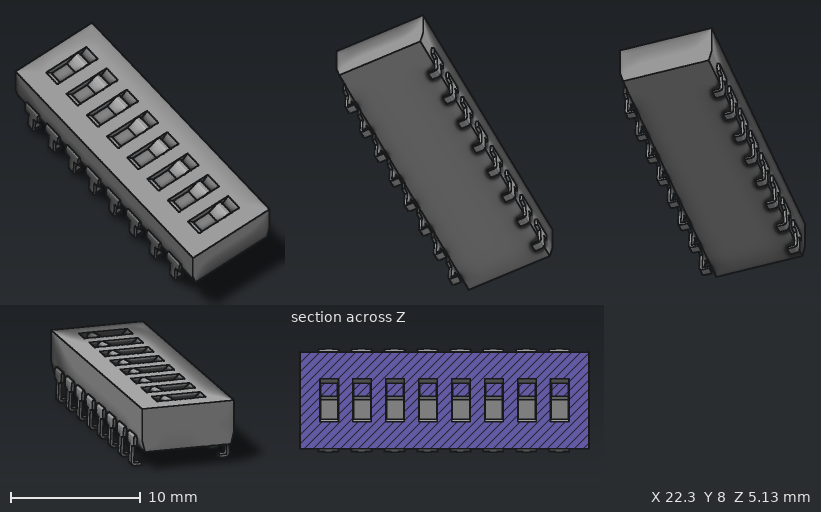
import cadquery as cq
import math

POSITIONS = 8
PITCH = 2.55
CONTACT_SHIFT = -0.05

BODY_LENGTH = 22.3
BODY_WIDTH = 7.5
TOP_Z = 5.13
BODY_BOTTOM_Z = 1.63
SKIRT_TOP_Z = 2.63
SKIRT_INSET = 0.25

WINDOW_WIDTH = 1.4
WINDOW_LENGTH = 3.92
WINDOW_DEPTH = 0.7
WINDOW_Y = 0.02
END_WALL_RUN = WINDOW_DEPTH

ACTUATOR_WIDTH = 1.32
ACTUATOR_FLOOR_DEPTH = 0.5
KNOB_RADIUS = 0.38
CREST_RADIUS = 0.33
KNOB_Y = 0.95
RAMP_FOOT_Y = 0.05
SLIDE_END_Y = -1.47

CONTACT_TOP_Z = 2.59
METAL = 0.25
CONTACT_SPAN = 8.0
LEG_LEAN = math.radians(2.2)
TAIL_Y = 3.23
FOOT_LENGTH = 0.83
TOP_BEND = 0.22
FOOT_BEND = 0.31
FOOT_INNER_BEND = 0.07
SHOULDER_WIDTH = 1.55
LEG_WIDTH = 0.62
SHOULDER_SIDE_Z = 1.75
SHOULDER_LEG_Z = 1.63


def row_places(shift=0):
    """X of each switch position, for a row moved by shift."""
    return [shift + (i - (POSITIONS - 1) / 2) * PITCH for i in range(POSITIONS)]


def extruded_along_x(outline, width):
    """A solid from a Y-Z outline, centred on X = 0."""
    return outline.extrude(width / 2, both=True)


def make_housing():
    half_width = BODY_WIDTH / 2
    base_half = half_width - SKIRT_INSET
    outline = cq.Workplane("YZ").polyline([
        (-half_width, TOP_Z),
        (half_width, TOP_Z),
        (half_width, SKIRT_TOP_Z),
        (base_half, BODY_BOTTOM_Z),
        (-base_half, BODY_BOTTOM_Z),
        (-half_width, SKIRT_TOP_Z),
    ]).close()
    return extruded_along_x(outline, BODY_LENGTH)


def make_window():
    near_y = WINDOW_Y - WINDOW_LENGTH / 2
    far_y = WINDOW_Y + WINDOW_LENGTH / 2
    floor_z = TOP_Z - WINDOW_DEPTH
    outline = cq.Workplane("YZ").polyline([
        (near_y, TOP_Z),
        (near_y + END_WALL_RUN, floor_z),
        (far_y - END_WALL_RUN, floor_z),
        (far_y, TOP_Z),
    ]).close()
    return extruded_along_x(outline, WINDOW_WIDTH)


def make_actuator():
    """Flat slide with a rounded ridge, whose crest is level with the top face."""
    flat_z = TOP_Z - ACTUATOR_FLOOR_DEPTH
    root_z = TOP_Z - 2 * KNOB_RADIUS
    axis_z = TOP_Z - CREST_RADIUS
    run = KNOB_Y - RAMP_FOOT_Y
    rise = axis_z - flat_z
    ramp_angle = math.atan2(rise, run) + math.asin(CREST_RADIUS / math.hypot(run, rise))
    touch_y = KNOB_Y - CREST_RADIUS * math.sin(ramp_angle)
    touch_z = axis_z + CREST_RADIUS * math.cos(ramp_angle)
    outline = (
        cq.Workplane("YZ")
        .moveTo(SLIDE_END_Y, root_z)
        .lineTo(SLIDE_END_Y, flat_z)
        .lineTo(RAMP_FOOT_Y, flat_z)
        .lineTo(touch_y, touch_z)
        .tangentArcPoint((KNOB_Y, TOP_Z), relative=False)
        .threePointArc((KNOB_Y + KNOB_RADIUS, TOP_Z - KNOB_RADIUS), (KNOB_Y, root_z))
        .close()
    )
    return extruded_along_x(outline, ACTUATOR_WIDTH)


def make_contact():
    """Contact on the +Y side: tail, broad shoulder, narrow leg and inward foot."""
    bend_setback = FOOT_BEND / math.tan((math.pi / 2 - LEG_LEAN) / 2)
    foot_y = CONTACT_SPAN / 2 - FOOT_BEND + bend_setback
    top_y = foot_y - CONTACT_TOP_Z * math.tan(LEG_LEAN)
    foot_end_y = CONTACT_SPAN / 2 - FOOT_LENGTH
    outline = cq.Workplane("YZ").polyline([
        (TAIL_Y, CONTACT_TOP_Z),
        (top_y, CONTACT_TOP_Z),
        (foot_y, 0),
        (foot_end_y, 0),
        (foot_end_y, METAL),
        (foot_y - METAL, METAL),
        (top_y - METAL, CONTACT_TOP_Z - METAL),
        (TAIL_Y, CONTACT_TOP_Z - METAL),
    ]).close()
    strip = (
        extruded_along_x(outline, SHOULDER_WIDTH)
        .edges(cq.NearestToPointSelector((0, top_y, CONTACT_TOP_Z))).fillet(TOP_BEND)
        .edges(cq.NearestToPointSelector((0, foot_y, 0))).fillet(FOOT_BEND)
        .edges(cq.NearestToPointSelector((0, foot_y - METAL, METAL))).fillet(FOOT_INNER_BEND)
    )
    half_shoulder = SHOULDER_WIDTH / 2
    half_leg = LEG_WIDTH / 2
    blank = cq.Workplane("XZ").polyline([
        (-half_shoulder, CONTACT_TOP_Z),
        (half_shoulder, CONTACT_TOP_Z),
        (half_shoulder, SHOULDER_SIDE_Z),
        (half_leg, SHOULDER_LEG_Z),
        (half_leg, 0),
        (-half_leg, 0),
        (-half_leg, SHOULDER_LEG_Z),
        (-half_shoulder, SHOULDER_SIDE_Z),
    ]).close().extrude(-CONTACT_SPAN)
    return strip.intersect(blank)


result = make_housing()

window = make_window()
actuator = make_actuator()
for x in row_places():
    result = result.cut(window.translate((x, 0, 0)))
    result = result.union(actuator.translate((x, 0, 0)))

far_contact = make_contact()
near_contact = far_contact.mirror("XZ")
for x in row_places(CONTACT_SHIFT):
    for contact in (far_contact, near_contact):
        result = result.union(contact.translate((x, 0, 0)))